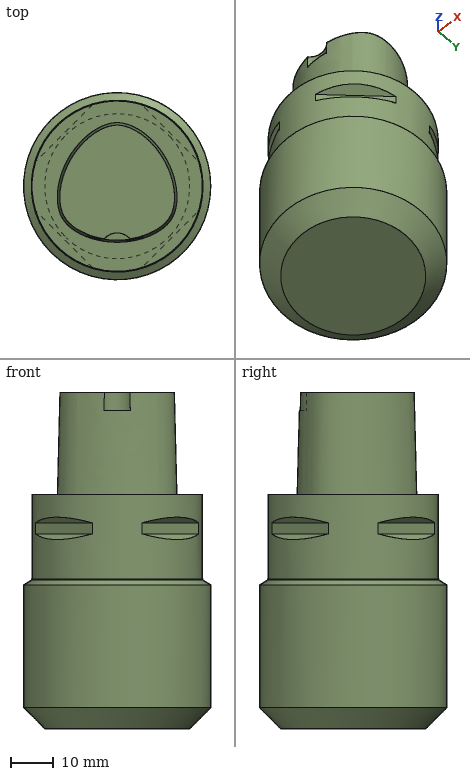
import cadquery as cq
import math

total_height = 79.0
shank_height = 23.9
flange_height = 20.15
flange_top = total_height - shank_height
flange_bottom = flange_top - flange_height

body_radius = 44.0 / 2
flange_radius = 40.0 / 2
nose_chamfer = 5.0
shoulder_height = 1.1
ledge_width = 0.2
ledge_height = 0.2

shank_base_radius = 14.1
shank_taper = 1 / 40
lobe_offset = 0.9
lobe_half_angle = 28.0
lobe_count = 3
lobe_pitch = 360 / lobe_count
first_lobe_angle = 90.0
points_per_stretch = 9

notch_radius = 3.95
notch_inner_y = -11.0
notch_depth = 4.3

groove_count = 4
groove_first_angle = 45.0
groove_floor_distance = 17.6
groove_floor_width = 2.5
groove_wall_angle = 30.0
groove_center_z = 47.1


def make_body():
    """Turned body with a chamfered nose, a sloping shoulder, a fine ledge and the flange."""
    profile = [
        (0, 0),
        (body_radius - nose_chamfer, 0),
        (body_radius, nose_chamfer),
        (body_radius, flange_bottom - shoulder_height),
        (flange_radius + ledge_width, flange_bottom),
        (flange_radius + ledge_width, flange_bottom + ledge_height),
        (flange_radius, flange_bottom + ledge_height),
        (flange_radius, flange_top),
        (0, flange_top),
    ]
    return cq.Workplane("XZ").polyline(profile).close().revolve(360, (0, 0, 0), (0, 1, 0))


def lobed_point(mean_radius, normal_angle, z):
    """Point of the constant-width outline whose outward normal has the given angle."""
    angle = math.radians(normal_angle)
    phase = lobe_count * math.radians(normal_angle - first_lobe_angle)
    support = mean_radius + lobe_offset * math.cos(phase)
    slope = -lobe_count * lobe_offset * math.sin(phase)
    x = support * math.cos(angle) - slope * math.sin(angle)
    y = support * math.sin(angle) + slope * math.cos(angle)
    return cq.Vector(x, y, z)


def curve_stretch(mean_radius, start_angle, end_angle, z):
    """Smooth edge along the outline between two normal angles."""
    step = (end_angle - start_angle) / (points_per_stretch - 1)
    angles = [start_angle + i * step for i in range(points_per_stretch)]
    return cq.Edge.makeSpline([lobed_point(mean_radius, angle, z) for angle in angles])


def shank_outline(mean_radius, z):
    """Closed outline of alternating tight lobes and flatter sides."""
    edges = []
    for i in range(lobe_count):
        lobe_center = first_lobe_angle + i * lobe_pitch
        lobe_start = lobe_center - lobe_half_angle
        lobe_end = lobe_center + lobe_half_angle
        edges.append(curve_stretch(mean_radius, lobe_start, lobe_end, z))
        edges.append(curve_stretch(mean_radius, lobe_end, lobe_start + lobe_pitch, z))
    return cq.Wire.assembleEdges(edges)


def make_shank():
    """Tapered shank standing on the flange."""
    top_radius = shank_base_radius - shank_taper * shank_height
    base = shank_outline(shank_base_radius, flange_top)
    top = shank_outline(top_radius, total_height)
    return cq.Workplane(cq.Solid.makeLoft([base, top], True))


def make_notch():
    """Round cutter for the notch at the top of the shank."""
    return (
        cq.Workplane("XY", origin=(0, notch_inner_y - notch_radius, total_height - notch_depth))
        .circle(notch_radius)
        .extrude(notch_depth)
    )


def make_groove():
    """Cutter with a flat floor and flared walls, facing +X."""
    floor_half = groove_floor_width / 2
    outer_distance = body_radius
    flare = (outer_distance - groove_floor_distance) * math.tan(math.radians(groove_wall_angle))
    outer_half = floor_half + flare
    section = [
        (groove_floor_distance, groove_center_z - floor_half),
        (outer_distance, groove_center_z - outer_half),
        (outer_distance, groove_center_z + outer_half),
        (groove_floor_distance, groove_center_z + floor_half),
    ]
    return cq.Workplane("XZ").polyline(section).close().extrude(body_radius, both=True)


result = make_body().union(make_shank()).cut(make_notch())
groove = make_groove()
for i in range(groove_count):
    groove_angle = groove_first_angle + i * 360 / groove_count
    result = result.cut(groove.rotate((0, 0, 0), (0, 0, 1), groove_angle))